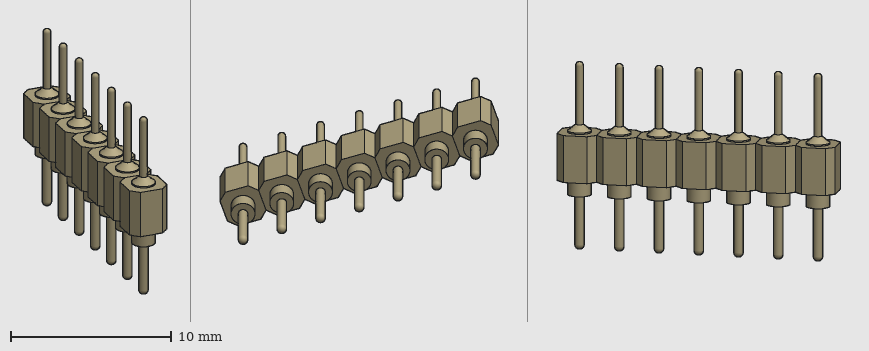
import cadquery as cq

contact_count = 7
row_length = 17.78
pitch = row_length / contact_count

housing_side = pitch
housing_height = 3.0
housing_chamfer = 0.52

collar_diameter = 1.5
collar_height = 1.0
land_height = 0.09
cone_height = 0.41

upper_pin_diameter = 0.5
upper_pin_length = 4.0
lower_pin_diameter = 0.6
lower_pin_length = 3.5

land_top = housing_height + land_height
cone_top = land_top + cone_height
upper_tip = cone_top + upper_pin_length
collar_bottom = -collar_height
lower_tip = collar_bottom - lower_pin_length


def make_housing():
    """Octagonal block standing on Z = 0."""
    block = cq.Workplane("XY").box(housing_side, housing_side, housing_height, centered=(True, True, False))
    return block.edges("|Z").chamfer(housing_chamfer)


def make_turned_core():
    """Pins, cone, land and collar as one profile revolved about Z."""
    upper_radius = upper_pin_diameter / 2
    lower_radius = lower_pin_diameter / 2
    collar_radius = collar_diameter / 2
    profile = (
        cq.Workplane("XZ")
        .moveTo(0, lower_tip)
        .radiusArc((lower_radius, lower_tip + lower_radius), -lower_radius)
        .lineTo(lower_radius, collar_bottom)
        .lineTo(collar_radius, collar_bottom)
        .lineTo(collar_radius, land_top)
        .lineTo(upper_radius, cone_top)
        .lineTo(upper_radius, upper_tip - upper_radius)
        .radiusArc((0, upper_tip), -upper_radius)
        .close()
    )
    return profile.revolve(360, (0, 0, 0), (0, 1, 0))


def make_contact(center_x):
    """One housing block and its pin as a single solid."""
    contact = make_housing().union(make_turned_core())
    return contact.translate((center_x, 0, 0))


contacts = []
for index in range(contact_count):
    center_x = (index - (contact_count - 1) / 2) * pitch
    contacts.append(make_contact(center_x).solids().val())

result = cq.Compound.makeCompound(contacts)